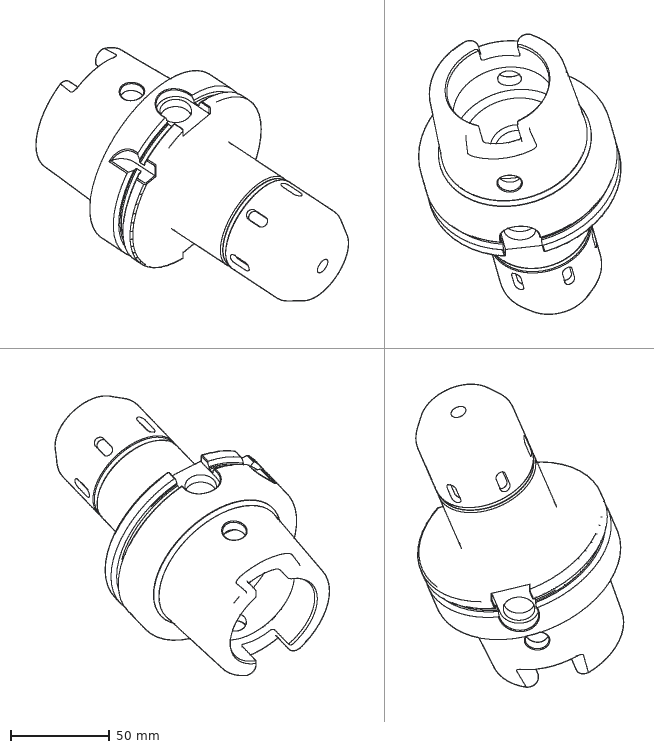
import cadquery as cq
import math

TOTAL_LENGTH = 165.0
TAPER_END_X = 47.8
FLANGE_LEFT_X = 50.0
FLANGE_RIGHT_X = 79.0
SPLIT_X = 119.6

TAPER_LARGE_RADIUS = 38.0
TAPER_HALF_SLOPE = 0.05
TAPER_SMALL_RADIUS = TAPER_LARGE_RADIUS - TAPER_HALF_SLOPE * TAPER_END_X
UNDERCUT_RADIUS = 37.3
UNDERCUT_START_X = 48.3
FACE_RELIEF_RADIUS = 39.6
FACE_RELIEF_DEPTH = 0.3
NECK_FILLET = 1.0

NOTCH_HALF_WIDTH = 10.0
TOP_NOTCH_DEPTH = 9.9
BOTTOM_NOTCH_DEPTH = 15.0
TOOTH_ROUND_RADIUS = 5.0
TOOTH_ROUND_CENTER_Z = 26.7
TOOTH_ROUND_OVERRUN = 15.0
NOTCH_ROOT_FILLET = 1.6
TOOTH_END_FILLET = 1.8

MOUTH_RADIUS = 26.48
MOUTH_CHAMFER = 0.7
MOUTH_DEPTH = 19.5
CAVITY_RADIUS = 31.5
CAVITY_END_X = 44.5
SHOULDER_ANGLE = 60.0
POCKET_RADIUS = 25.99
POCKET_FLOOR_X = 49.5
POCKET_FLOOR_FILLET = 1.3
TUBE_BORE_RADIUS = 10.48
TUBE_BORE_CHAMFER_RADIUS = 12.5
TUBE_BORE_DEPTH = 9.9
COOLANT_HOLE_RADIUS = 4.0

ACCESS_HOLE_X = 34.8
ACCESS_HOLE_RADIUS = 6.02
ACCESS_HOLE_CHAMFER = 0.5

FLANGE_RADIUS = 50.0
FLANGE_EDGE_FILLET = 1.0
GROOVE_LEFT_X = 66.7
GROOVE_FLOOR_LEFT_X = 68.1
GROOVE_FLOOR_RIGHT_X = 71.6
GROOVE_RIGHT_X = 73.1
GROOVE_FLANK_RADIUS = 47.5
GROOVE_FLOOR_RADIUS = 46.0
GROOVE_ROOT_FILLET = 0.5

KEYWAY_END_CENTER_X = 64.7
KEYWAY_HALF_WIDTH = 9.98
KEYWAY_FLOOR_Z = 44.0
KEYWAY_HOLE_RADIUS = 8.0
KEYWAY_HOLE_DEPTH = 5.5
CORNER_FLOOR_Z = 31.0
CORNER_WALL_Y = -31.5
RIM_CHAMFER = 0.5

BARREL_RADIUS = 26.48
BARREL_ROOT_FILLET = 2.8
BARREL_END_CHAMFER = 0.8

COLLAR_RADIUS = 25.99
COLLAR_FILLET = 1.0
COLLAR_END_X = 122.0
NUT_EDGE_CHAMFER = 0.5
NUT_CONE_START_X = 154.5
NUT_CONE_ANGLE = 30.0
NUT_SHOULDER_FILLET = 5.0
NUT_NOSE_FILLET = 2.5
SPANNER_SLOT_COUNT = 6
SPANNER_SLOT_CENTER_X = 132.0
SPANNER_SLOT_LENGTH = 12.9
SPANNER_SLOT_WIDTH = 5.6
SPANNER_SLOT_FLOOR_RADIUS = 23.1


def revolve_about_x(profile):
    """Closed (x, radius) outline turned into a solid of revolution about X."""
    return profile.close().revolve(360, (0, 0, 0), (1, 0, 0))


def turned(points):
    return revolve_about_x(cq.Workplane("XY").polyline(points))


def holder_blank():
    """Taper, grooved flange and barrel as one solid turned piece."""
    relief_x = FLANGE_LEFT_X + FACE_RELIEF_DEPTH
    profile = (
        cq.Workplane("XY")
        .moveTo(0, 0)
        .lineTo(0, TAPER_SMALL_RADIUS)
        .lineTo(TAPER_END_X, TAPER_LARGE_RADIUS)
        .lineTo(UNDERCUT_START_X, UNDERCUT_RADIUS)
        .lineTo(relief_x - NECK_FILLET, UNDERCUT_RADIUS)
        .radiusArc((relief_x, UNDERCUT_RADIUS + NECK_FILLET), -NECK_FILLET)
        .lineTo(relief_x, FACE_RELIEF_RADIUS)
        .lineTo(FLANGE_LEFT_X, FACE_RELIEF_RADIUS)
        .lineTo(FLANGE_LEFT_X, FLANGE_RADIUS - FLANGE_EDGE_FILLET)
        .radiusArc((FLANGE_LEFT_X + FLANGE_EDGE_FILLET, FLANGE_RADIUS), FLANGE_EDGE_FILLET)
        .lineTo(GROOVE_LEFT_X, FLANGE_RADIUS)
        .lineTo(GROOVE_FLOOR_LEFT_X, GROOVE_FLANK_RADIUS)
        .lineTo(GROOVE_FLOOR_LEFT_X, GROOVE_FLOOR_RADIUS + GROOVE_ROOT_FILLET)
        .radiusArc((GROOVE_FLOOR_LEFT_X + GROOVE_ROOT_FILLET, GROOVE_FLOOR_RADIUS), -GROOVE_ROOT_FILLET)
        .lineTo(GROOVE_FLOOR_RIGHT_X - GROOVE_ROOT_FILLET, GROOVE_FLOOR_RADIUS)
        .radiusArc((GROOVE_FLOOR_RIGHT_X, GROOVE_FLOOR_RADIUS + GROOVE_ROOT_FILLET), -GROOVE_ROOT_FILLET)
        .lineTo(GROOVE_FLOOR_RIGHT_X, GROOVE_FLANK_RADIUS)
        .lineTo(GROOVE_RIGHT_X, FLANGE_RADIUS)
        .lineTo(FLANGE_RIGHT_X - FLANGE_EDGE_FILLET, FLANGE_RADIUS)
        .radiusArc((FLANGE_RIGHT_X, FLANGE_RADIUS - FLANGE_EDGE_FILLET), FLANGE_EDGE_FILLET)
        .lineTo(FLANGE_RIGHT_X, BARREL_RADIUS + BARREL_ROOT_FILLET)
        .radiusArc((FLANGE_RIGHT_X + BARREL_ROOT_FILLET, BARREL_RADIUS), -BARREL_ROOT_FILLET)
        .lineTo(SPLIT_X - BARREL_END_CHAMFER, BARREL_RADIUS)
        .lineTo(SPLIT_X, BARREL_RADIUS - BARREL_END_CHAMFER)
        .lineTo(SPLIT_X, 0)
    )
    return revolve_about_x(profile)


def notch_cutter(depth):
    """Upward notch across the taper end that leaves round-cornered teeth on both sides."""
    center_y = NOTCH_HALF_WIDTH + TOOTH_ROUND_RADIUS
    crest_z = TOOTH_ROUND_CENTER_Z + TOOTH_ROUND_RADIUS
    overrun = math.radians(TOOTH_ROUND_OVERRUN)
    end_y = center_y + TOOTH_ROUND_RADIUS * math.sin(overrun)
    end_z = TOOTH_ROUND_CENTER_Z + TOOTH_ROUND_RADIUS * math.cos(overrun)
    outside_z = TAPER_LARGE_RADIUS + TOOTH_ROUND_RADIUS
    outside_y = 2 * center_y
    profile = (
        cq.Workplane("YZ", origin=(-depth, 0, 0))
        .moveTo(-NOTCH_HALF_WIDTH, 0)
        .lineTo(NOTCH_HALF_WIDTH, 0)
        .lineTo(NOTCH_HALF_WIDTH, TOOTH_ROUND_CENTER_Z)
        .threePointArc((center_y, crest_z), (end_y, end_z))
        .lineTo(outside_y, end_z)
        .lineTo(outside_y, outside_z)
        .lineTo(-outside_y, outside_z)
        .lineTo(-outside_y, end_z)
        .lineTo(-end_y, end_z)
        .threePointArc((-center_y, crest_z), (-NOTCH_HALF_WIDTH, TOOTH_ROUND_CENTER_Z))
        .close()
        .extrude(2 * depth)
    )
    side_edges = profile.faces(">X").edges("not(<Z or >Z or <Y or >Y)")
    return side_edges.fillet(NOTCH_ROOT_FILLET)


def cut_driving_notches(body):
    top = notch_cutter(TOP_NOTCH_DEPTH)
    bottom = notch_cutter(BOTTOM_NOTCH_DEPTH).rotate((0, 0, 0), (1, 0, 0), 180)
    toothed = body.cut(top).cut(bottom)
    return toothed.faces("<X").edges().fillet(TOOTH_END_FILLET)


def cavity():
    """Clamping cavity, coolant tube bore and coolant hole on the axis."""
    flare_x = MOUTH_DEPTH + (CAVITY_RADIUS - MOUTH_RADIUS) / math.tan(math.radians(SHOULDER_ANGLE))
    bore_chamfer = TUBE_BORE_CHAMFER_RADIUS - TUBE_BORE_RADIUS
    bore_end_x = POCKET_FLOOR_X + TUBE_BORE_DEPTH
    profile = (
        cq.Workplane("XY")
        .moveTo(0, 0)
        .lineTo(0, MOUTH_RADIUS + MOUTH_CHAMFER)
        .lineTo(2 * MOUTH_CHAMFER, MOUTH_RADIUS)
        .lineTo(MOUTH_DEPTH, MOUTH_RADIUS)
        .lineTo(flare_x, CAVITY_RADIUS)
        .lineTo(CAVITY_END_X, CAVITY_RADIUS)
        .lineTo(CAVITY_END_X, POCKET_RADIUS)
        .lineTo(POCKET_FLOOR_X - POCKET_FLOOR_FILLET, POCKET_RADIUS)
        .radiusArc((POCKET_FLOOR_X, POCKET_RADIUS - POCKET_FLOOR_FILLET), POCKET_FLOOR_FILLET)
        .lineTo(POCKET_FLOOR_X, TUBE_BORE_CHAMFER_RADIUS)
        .lineTo(POCKET_FLOOR_X + bore_chamfer, TUBE_BORE_RADIUS)
        .lineTo(bore_end_x, TUBE_BORE_RADIUS)
        .lineTo(bore_end_x, 0)
    )
    return revolve_about_x(profile).union(coolant_hole())


def coolant_hole():
    return cq.Workplane("YZ").circle(COOLANT_HOLE_RADIUS).extrude(TOTAL_LENGTH)


def cut_access_hole(body):
    """Hole straight through both walls of the taper, chamfered at the outside."""
    reach = TAPER_LARGE_RADIUS + 1.6
    hole = (
        cq.Workplane("XY", origin=(ACCESS_HOLE_X, 0, -reach))
        .circle(ACCESS_HOLE_RADIUS)
        .extrude(2 * reach)
    )
    rims = cq.selectors.BoxSelector(
        (ACCESS_HOLE_X - 1.6, -1.6, -reach),
        (ACCESS_HOLE_X + 1.6, 1.6, -CAVITY_RADIUS - 1.6),
    ) + cq.selectors.BoxSelector(
        (ACCESS_HOLE_X - 1.6, -1.6, CAVITY_RADIUS + 1.6),
        (ACCESS_HOLE_X + 1.6, 1.6, reach),
    )
    return body.cut(hole).edges(rims).chamfer(ACCESS_HOLE_CHAMFER)


def runs_along_flange_rim(edge):
    """True for edges that lie on the outer flange surface and change in X."""
    points = [edge.positionAt(fraction) for fraction in (0, 0.5, 1)]
    on_surface = all(math.isclose(math.hypot(p.y, p.z), FLANGE_RADIUS, abs_tol=0.002) for p in points)
    return on_surface and not math.isclose(points[0].x, points[1].x, abs_tol=0.002)


def slot_cutter(center_y, floor_z):
    """Round-ended slot along X with its floor at floor_z, open towards +X and +Z."""
    height = FLANGE_RADIUS + 1.6 - floor_z
    length = FLANGE_RIGHT_X - KEYWAY_END_CENTER_X
    width = 2 * KEYWAY_HALF_WIDTH
    start = cq.Workplane("XY", origin=(KEYWAY_END_CENTER_X, center_y, floor_z))
    round_end = start.circle(KEYWAY_HALF_WIDTH).extrude(height)
    straight = start.rect(2 * length, width).extrude(height).intersect(
        start.box(2 * length, width, 2 * height, centered=(False, True, True))
    )
    return round_end.union(straight)


def keyway_cutter():
    """Keyway with a blind hole concentric with its round end."""
    hole = (
        cq.Workplane("XY", origin=(KEYWAY_END_CENTER_X, 0, KEYWAY_FLOOR_Z - KEYWAY_HOLE_DEPTH))
        .circle(KEYWAY_HOLE_RADIUS)
        .extrude(KEYWAY_HOLE_DEPTH)
    )
    return slot_cutter(0, KEYWAY_FLOOR_Z).union(hole)


def make_holder():
    body = cut_driving_notches(holder_blank())
    body = body.cut(cavity())
    body = cut_access_hole(body)
    keyway = keyway_cutter()
    body = body.cut(keyway)
    body = body.cut(keyway.rotate((0, 0, 0), (1, 0, 0), 180))
    corner_center_y = CORNER_WALL_Y - KEYWAY_HALF_WIDTH
    body = body.cut(slot_cutter(corner_center_y, CORNER_FLOOR_Z))
    return body.edges().filter(runs_along_flange_rim).chamfer(RIM_CHAMFER)


def nut_blank():
    nose_radius = BARREL_RADIUS - (TOTAL_LENGTH - NUT_CONE_START_X) * math.tan(math.radians(NUT_CONE_ANGLE))
    points = [
        (SPLIT_X, 0),
        (SPLIT_X, COLLAR_RADIUS),
        (COLLAR_END_X, COLLAR_RADIUS),
        (COLLAR_END_X + NUT_EDGE_CHAMFER, BARREL_RADIUS),
        (NUT_CONE_START_X, BARREL_RADIUS),
        (TOTAL_LENGTH, nose_radius),
        (TOTAL_LENGTH, 0),
    ]
    blank = turned(points)
    blank = blank.faces("<X").edges().fillet(COLLAR_FILLET)
    blank = blank.faces(">X").edges().fillet(NUT_NOSE_FILLET)
    shoulder = cq.selectors.BoxSelector(
        (NUT_CONE_START_X - 0.2, -TOTAL_LENGTH, -TOTAL_LENGTH),
        (NUT_CONE_START_X + 0.2, TOTAL_LENGTH, TOTAL_LENGTH),
    )
    return blank.edges(shoulder).fillet(NUT_SHOULDER_FILLET)


def spanner_slot(angle):
    """Flat-bottomed oblong pocket in the nut wall, turned to its place about X."""
    slot = (
        cq.Workplane("XY", origin=(SPANNER_SLOT_CENTER_X, 0, SPANNER_SLOT_FLOOR_RADIUS))
        .slot2D(SPANNER_SLOT_LENGTH, SPANNER_SLOT_WIDTH)
        .extrude(BARREL_RADIUS)
    )
    return slot.rotate((0, 0, 0), (1, 0, 0), angle)


def make_nut():
    body = nut_blank().cut(coolant_hole())
    pitch = 360 / SPANNER_SLOT_COUNT
    for index in range(SPANNER_SLOT_COUNT):
        body = body.cut(spanner_slot((index + 0.5) * pitch))
    return body


holder = make_holder()
nut = make_nut()

result = cq.Compound.makeCompound([holder.val(), nut.val()])